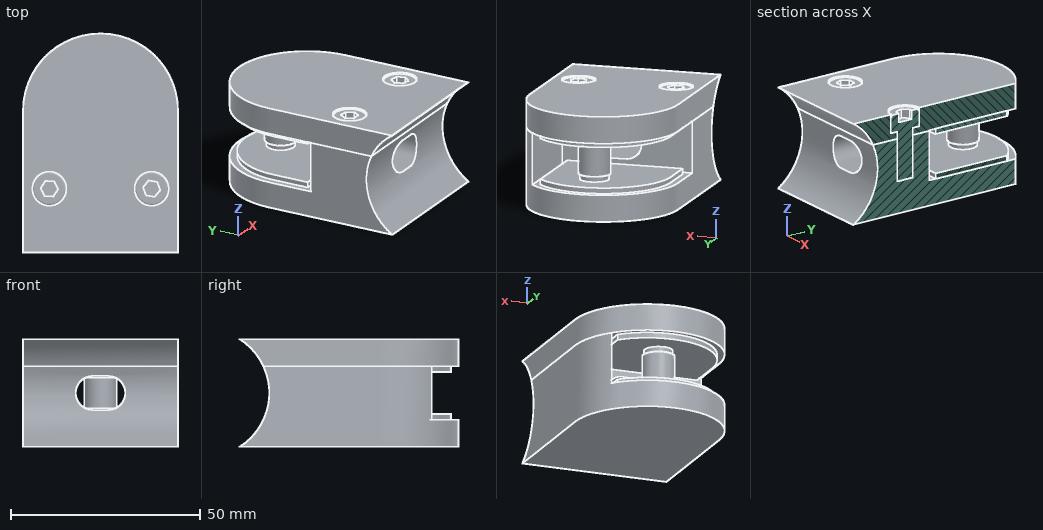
import cadquery as cq
import math

width = 41.0
height = 28.5
overall_length = 57.86
glass_gap = 14.0
gap_depth = 12.6
side_wall = 5.0

tube_radius = 16.85
slot_length = 13.0
slot_height = 9.0

gasket_thickness = 1.5
gasket_inset = 2.0

pin_y = 8.0
pin_core_diameter = 7.7
pin_collar_diameter = 8.6
pin_collar_height = 8.0

screw_spacing = 27.0
screw_y = -20.5
head_diameter = 9.0
head_height = 5.0
head_recess = 0.25
head_fillet = 0.6
socket_across_flats = 4.0
socket_depth = 2.5
shank_diameter = 5.0
shank_in_base = 12.0
socket_turns = (27.0, 20.0)

outer_radius = width / 2
top_z = height / 2
bottom_z = -top_z
jaw_z = glass_gap / 2
front_y = outer_radius - overall_length
seat_axis_y = front_y - math.sqrt(tube_radius**2 - top_z**2)
wall_inner_x = outer_radius - side_wall
screw_xs = (-screw_spacing / 2, screw_spacing / 2)
shank_tip_z = jaw_z - shank_in_base
head_top_z = top_z - head_recess
head_seat_z = head_top_z - head_height


def tongue(radius, back_y, bottom, thickness):
    """Plate with straight sides and a full-round +Y end centred on the origin."""
    return (
        cq.Workplane("XY", origin=(0, 0, bottom))
        .moveTo(-radius, back_y)
        .lineTo(radius, back_y)
        .lineTo(radius, 0)
        .threePointArc((0, radius), (-radius, 0))
        .close()
        .extrude(thickness)
    )


def left_of(limit_x, back_y, bottom, thickness):
    """Block that reaches from outside the -X side to limit_x, and past the rounded end."""
    return (
        cq.Workplane("XY", origin=(0, 0, bottom))
        .moveTo(-width, back_y)
        .lineTo(limit_x, back_y)
        .lineTo(limit_x, width)
        .lineTo(-width, width)
        .close()
        .extrude(thickness)
    )


def post_cylinder():
    """Round post along X that cuts the concave seat."""
    return (
        cq.Workplane("YZ", origin=(-width, 0, 0))
        .center(seat_axis_y, 0)
        .circle(tube_radius)
        .extrude(2 * width)
    )


def screw_blank(x, head_end_z):
    """Shank and plain head at x, with the head reaching up to head_end_z."""
    shank = (
        cq.Workplane("XY", origin=(x, screw_y, shank_tip_z))
        .circle(shank_diameter / 2)
        .extrude(head_seat_z - shank_tip_z)
    )
    head = (
        cq.Workplane("XY", origin=(x, screw_y, head_seat_z))
        .circle(head_diameter / 2)
        .extrude(head_end_z - head_seat_z)
    )
    return shank.union(head)


def make_base():
    body = tongue(outer_radius, front_y, bottom_z, jaw_z - bottom_z)
    body = body.cut(left_of(wall_inner_x, -gap_depth, -jaw_z, glass_gap))
    body = body.cut(post_cylinder())
    slot = (
        cq.Workplane("XZ", origin=(0, -gap_depth, 0))
        .slot2D(slot_length, slot_height)
        .extrude(overall_length)
    )
    body = body.cut(slot)
    for x in screw_xs:
        body = body.cut(screw_blank(x, top_z))
    return body


def make_cover():
    body = tongue(outer_radius, front_y, jaw_z, top_z - jaw_z)
    body = body.cut(post_cylinder())
    for x in screw_xs:
        body = body.cut(screw_blank(x, top_z))
    return body


def make_gasket(bottom):
    back_y = gasket_inset - gap_depth
    pad = tongue(outer_radius - gasket_inset, back_y, bottom, gasket_thickness)
    return pad.intersect(left_of(wall_inner_x - gasket_inset, back_y, bottom, gasket_thickness))


def pin_cylinder(diameter, length):
    return (
        cq.Workplane("XY", origin=(0, pin_y, -length / 2))
        .circle(diameter / 2)
        .extrude(length)
    )


def make_pin():
    pin_height = glass_gap - 2 * gasket_thickness
    core = pin_cylinder(pin_core_diameter, pin_height)
    return core.union(pin_cylinder(pin_collar_diameter, pin_collar_height))


def make_screw(x, socket_turn):
    socket = (
        cq.Workplane("XY", origin=(x, screw_y, head_top_z - socket_depth))
        .transformed(rotate=(0, 0, socket_turn))
        .polygon(6, socket_across_flats, circumscribed=True)
        .extrude(socket_depth)
    )
    return screw_blank(x, head_top_z).faces(">Z").edges().fillet(head_fillet).cut(socket)


base = make_base()
cover = make_cover()
gaskets = [make_gasket(z) for z in (-jaw_z, jaw_z - gasket_thickness)]
pin = make_pin()
screws = [make_screw(x, turn) for x, turn in zip(screw_xs, socket_turns)]

bodies = [base, cover, *gaskets, pin, *screws]
result = cq.Compound.makeCompound([body.val() for body in bodies])